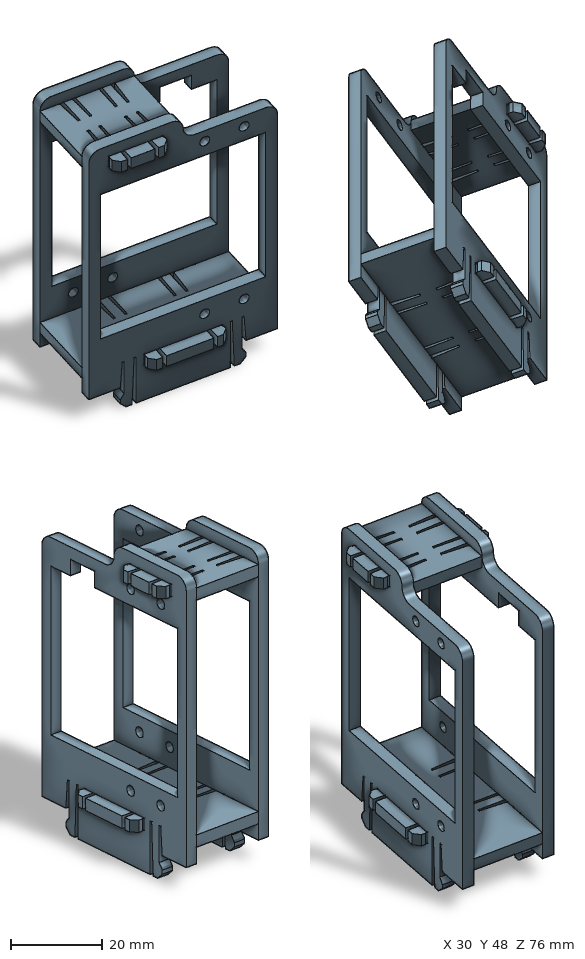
import cadquery as cq

sheet = 3.0

frame_length = 48.0
inner_gap = 18.0
plate_inner_x = inner_gap / 2
half_length = frame_length / 2

tab_reach = 2 * sheet
slit_depth = 7.0
slit_width = 0.5
slit_mouth = 1.0
arm_width = 3.0
barb_width = 1.0
clip_width = arm_width + barb_width
lead_in = 1.5
barb_land = 1.0
barb_neck_reach = 2.0
barb_catch = 0.75

foot_half = 16.0
lower_tab_half = 10.0
upper_tab_half = 7.0

foot_edge_z = tab_reach
corner_radius = 3.0
rear_top_z = 70.0
front_top_z = rear_top_z + 2 * corner_radius

window_half_length = half_length - sheet
window_bottom_z = 22.0
window_top_z = 63.0
notch_length = 8.0
notch_height = 4.0
notch_center_y = 10.5
hole_diameter = 2.5
hole_offsets = (5.5, 15.5)
hole_zs = (18.0, window_top_z + notch_height)

lower_panel_z = 10.0
upper_panel_z = rear_top_z
upper_tab_y = -half_length / 2


def add_snap_tab(blank, edge_plane, half_width):
    """Slit the edge of a sheet and add a tab with a solid core and a barbed arm on either side.

    The plane lies on the sheet's face with its origin at the middle of the tab, local X along the
    edge, local Y outward, and its normal into the sheet.
    """
    core = half_width - clip_width
    core_block = (
        cq.Workplane(edge_plane)
        .rect(2 * core, 2 * tab_reach)
        .extrude(sheet)
    )
    tabbed = blank.union(core_block)
    for side in (-1, 1):
        clearance = [
            (core, -slit_depth),
            (core, 0),
            (half_width, 0),
            (core + arm_width + slit_width, -slit_depth),
        ]
        arm = [
            (core + slit_width, -slit_depth),
            (core + slit_mouth, tab_reach),
            (half_width - lead_in, tab_reach),
            (half_width, tab_reach - lead_in),
            (half_width, tab_reach - lead_in - barb_land),
            (core + arm_width + barb_catch, sheet),
            (core + arm_width, barb_neck_reach),
            (core + arm_width, -slit_depth),
        ]
        opening = sheet_prism(edge_plane, clearance, side)
        tabbed = tabbed.cut(opening).union(sheet_prism(edge_plane, arm, side))
    return tabbed


def sheet_prism(plane, points, side):
    """Extrude an outline through the sheet, mirrored across local Y when side is -1."""
    outline = [(side * along, outward) for along, outward in points]
    return cq.Workplane(plane).polyline(outline).close().extrude(sheet)


def make_panel(y_min, y_max, bottom_z, tab_y, tab_half):
    """Horizontal cross panel with a snap tab through each side plate."""
    panel = (
        cq.Workplane("XY")
        .box(inner_gap, y_max - y_min, sheet, centered=(True, False, False))
        .translate((0, y_min, bottom_z))
    )
    for side in (-1, 1):
        edge_plane = cq.Plane(
            origin=(side * plate_inner_x, tab_y, bottom_z),
            xDir=(0, -side, 0),
            normal=(0, 0, 1),
        )
        panel = add_snap_tab(panel, edge_plane, tab_half)
    return panel


def plate_box(inner_x, y_min, y_max, z_min, z_max):
    """Block through the full thickness of the side plate that starts at inner_x."""
    return (
        cq.Workplane("XY")
        .box(sheet, y_max - y_min, z_max - z_min, centered=False)
        .translate((inner_x, y_min, z_min))
    )


def make_side_plate(start_x, hole_side):
    """Side plate, before any notch, occupying X from start_x to start_x + sheet.

    The screw holes are on the +Y half when hole_side is 1 and on the -Y half when it is -1.
    """
    r = corner_radius
    plate = (
        cq.Workplane("YZ", origin=(start_x, 0, 0))
        .moveTo(-half_length, foot_edge_z)
        .lineTo(half_length, foot_edge_z)
        .lineTo(half_length, rear_top_z - r)
        .radiusArc((half_length - r, rear_top_z), -r)
        .lineTo(r, rear_top_z)
        .radiusArc((0, rear_top_z + r), r)
        .radiusArc((-r, front_top_z), -r)
        .lineTo(-half_length + r, front_top_z)
        .radiusArc((-half_length, front_top_z - r), -r)
        .close()
        .extrude(sheet)
    )
    foot_plane = cq.Plane(origin=(start_x, 0, foot_edge_z), xDir=(0, -1, 0), normal=(1, 0, 0))
    plate = add_snap_tab(plate, foot_plane, foot_half)

    plate = plate.cut(
        plate_box(start_x, -window_half_length, window_half_length, window_bottom_z, window_top_z)
    )
    holes = (
        cq.Workplane("YZ", origin=(start_x, 0, 0))
        .pushPoints([(hole_side * offset, z) for offset in hole_offsets for z in hole_zs])
        .circle(hole_diameter / 2)
        .extrude(sheet)
    )
    plate = plate.cut(holes)

    for tab_y, tab_half, slot_z in (
        (0, lower_tab_half, lower_panel_z),
        (upper_tab_y, upper_tab_half, upper_panel_z),
    ):
        plate = plate.cut(plate_box(start_x, tab_y - tab_half, tab_y + tab_half, slot_z, slot_z + sheet))
    return plate


def cut_window_notch(plate, start_x):
    """Rectangular notch in the upper edge of the window."""
    return plate.cut(
        plate_box(
            start_x,
            notch_center_y - notch_length / 2,
            notch_center_y + notch_length / 2,
            window_top_z,
            window_top_z + notch_height,
        )
    )


left_plate_x = -plate_inner_x - sheet
notched_plate = cut_window_notch(make_side_plate(left_plate_x, -1), left_plate_x)
plain_plate = make_side_plate(plate_inner_x, 1)
lower_panel = make_panel(-half_length, half_length, lower_panel_z, 0, lower_tab_half)
upper_panel = make_panel(-half_length, 0, upper_panel_z, upper_tab_y, upper_tab_half)

result = cq.Compound.makeCompound(
    [notched_plate.val(), plain_plate.val(), lower_panel.val(), upper_panel.val()]
)